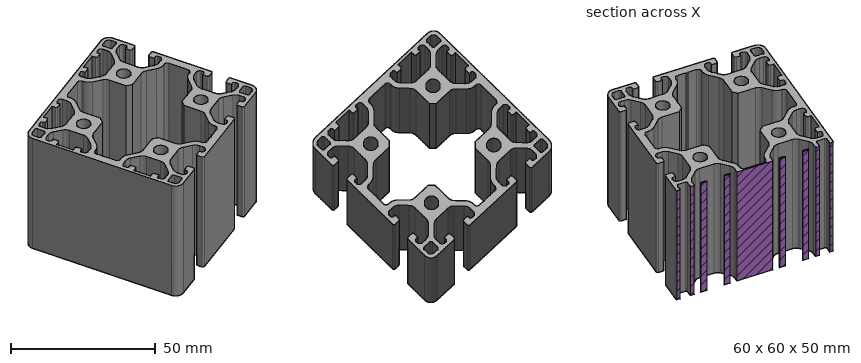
import cadquery as cq
import math

side = 60.0
length = 50.0
corner_radius = 3.0
half = side / 2

slot_center = 15.0
slot_opening = 6.4
slot_width = 16.25
slot_floor_depth = 9.65
lip_depth = 2.95
lip_width = 2.4
skin = 1.45
covered_skin = 1.1

core_width = 10.75
bore_diameter = 5.0
core_chamfer = 1.6
web_thickness = 1.9
neck_web = 2.0
corner_web = 1.55

ridge_width = 0.85
ridge_height = 0.3

edge_radius = 0.6
slot_end_radius = 1.2
slot_bend_radius = 3.0
slot_floor_radius = 3.0
core_root_radius = 3.0
cavity_corner_radius = 1.2
cavity_bend_radius = 4.2

opening_half = slot_opening / 2
lip_half = opening_half + lip_width
slot_half = slot_width / 2
web_offset = web_thickness / math.sqrt(2)
slot_bend_depth = slot_center - slot_half - web_offset
floor_half = slot_center - slot_floor_depth - web_offset
corner_cell_end = slot_center - slot_half - corner_web
cell_outer_radius = corner_radius - skin

cavity_face = half - lip_depth
neck_half = slot_center - slot_half - neck_web
core_face = slot_center - core_width / 2


def rounded_prism(corners):
    """Extrude a closed outline of (x, y, radius) corners over the full length."""
    arcs = []
    for index, (x, y, radius) in enumerate(corners):
        corner = cq.Vector(x, y)
        previous = cq.Vector(*corners[index - 1][:2])
        following = cq.Vector(*corners[(index + 1) % len(corners)][:2])
        backward = (previous - corner).normalized()
        forward = (following - corner).normalized()
        half_angle = backward.getAngle(forward) / 2
        setback = radius / math.tan(half_angle)
        bulge = radius / math.sin(half_angle) - radius
        middle = corner + (backward + forward).normalized() * bulge
        arcs.append((corner + backward * setback, middle, corner + forward * setback, radius))

    outline = cq.Workplane("XY").moveTo(arcs[-1][2].x, arcs[-1][2].y)
    for start, middle, end, radius in arcs:
        outline = outline.lineTo(start.x, start.y)
        if radius > 0:
            outline = outline.threePointArc((middle.x, middle.y), (end.x, end.y))
    return outline.close().extrude(length)


def turned(shape, angle):
    return shape.rotate((0, 0, 0), (0, 0, 1), angle)


def slot(is_open):
    """T-slot behind the -Y face, centred on x = 0; a covered slot keeps a thin skin outside."""
    if is_open:
        flare = opening_half + 2 * edge_radius
        mouth = [
            (flare, -half - edge_radius, 0),
            (flare, -half, 0),
            (opening_half, -half, edge_radius),
        ]
    else:
        mouth = [(opening_half, -half + covered_skin, 0)]
    right_side = mouth + [
        (opening_half, -half + lip_depth, edge_radius),
        (lip_half, -half + lip_depth, 0),
        (lip_half, -half + skin, edge_radius),
        (slot_half, -half + skin, slot_end_radius),
        (slot_half, -half + slot_bend_depth, slot_bend_radius),
        (floor_half, -half + slot_floor_depth, slot_floor_radius),
    ]
    left_side = [(-x, y, radius) for x, y, radius in reversed(right_side)]
    return rounded_prism(right_side + left_side)


def central_cavity():
    """Cross-shaped cavity between the four cores, built from four equal turned stretches."""
    web_line = half - web_offset
    right_side = [
        (neck_half, -cavity_face, cavity_corner_radius),
        (neck_half, neck_half - web_line, cavity_bend_radius),
        (core_face, core_face - web_line, core_root_radius),
        (core_face, -core_face - core_chamfer, 0),
    ]
    left_side = [(-x, y, radius) for x, y, radius in reversed(right_side)]
    corners = []
    for _ in range(4):
        corners = left_side + right_side + [(-y, x, radius) for x, y, radius in corners]
    return rounded_prism(corners)


def corner_cell():
    """Small closed cell in the -X, -Y corner."""
    near = -half + skin
    far = -half + corner_cell_end
    return rounded_prism(
        [
            (near, near, cell_outer_radius),
            (far, near, edge_radius),
            (far, far, edge_radius),
            (near, far, edge_radius),
        ]
    )


def ridge():
    """Shallow rounded ridge on the cavity side of the +X wall."""
    return (
        cq.Workplane("XY")
        .moveTo(cavity_face + ridge_height, -ridge_width / 2)
        .lineTo(cavity_face, -ridge_width / 2)
        .threePointArc((cavity_face - ridge_height, 0), (cavity_face, ridge_width / 2))
        .lineTo(cavity_face + ridge_height, ridge_width / 2)
        .close()
        .extrude(length)
    )


body = cq.Workplane("XY").rect(side, side).extrude(length).edges("|Z").fillet(corner_radius)
body = body.cut(central_cavity())

for angle, is_open in [(0, False), (90, True), (180, True), (270, False)]:
    for x in (-slot_center, slot_center):
        body = body.cut(turned(slot(is_open).translate((x, 0, 0)), angle))
    body = body.cut(turned(corner_cell(), angle))

bores = (
    cq.Workplane("XY")
    .rect(2 * slot_center, 2 * slot_center, forConstruction=True)
    .vertices()
    .circle(bore_diameter / 2)
    .extrude(length)
)
result = body.cut(bores).union(ridge())